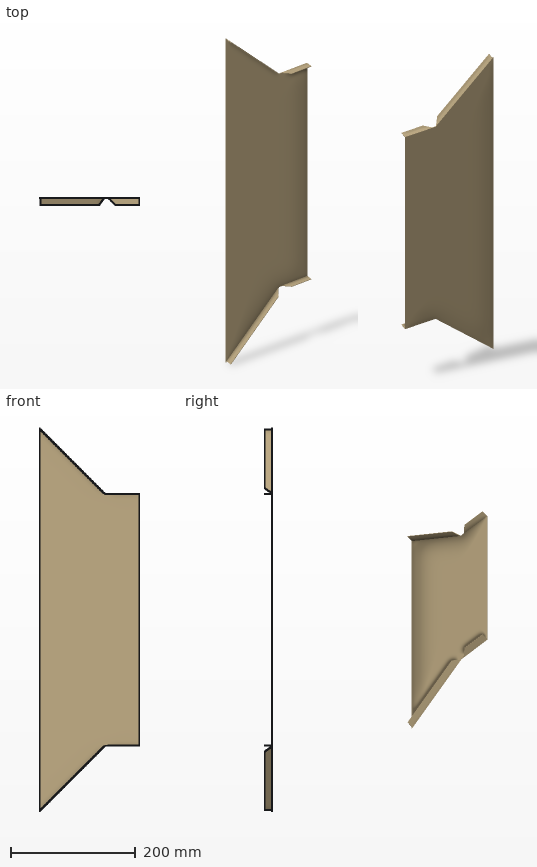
import cadquery as cq
import math

width = 160.13
depth = 12.24
height = 614.15

thickness = 1.0
slope_angle = 45.0
slope_run = 105.0
tip_height = height / 2
corner_height = tip_height - slope_run * math.tan(math.radians(slope_angle))
slope_length = slope_run / math.cos(math.radians(slope_angle))
straight_length = width - slope_run

flange_height = depth - thickness
tip_setback = 2.5
slope_setback = 2.0
straight_setback = 5.5


def make_plate():
    """Flat plate with its back face on Y = 0."""
    outline = [
        (0, -tip_height),
        (slope_run, -corner_height),
        (width, -corner_height),
        (width, corner_height),
        (slope_run, corner_height),
        (0, tip_height),
    ]
    return cq.Workplane("XZ").polyline(outline).close().extrude(thickness)


def make_flange(square_end, mitered_end):
    """Flange along X between its two ends, standing toward -Y, with its outer face on Z = 0."""
    miter = math.copysign(flange_height, square_end - mitered_end)
    outline = [
        (square_end, 0),
        (square_end, -depth),
        (mitered_end + miter, -depth),
        (mitered_end, -thickness),
        (mitered_end, 0),
    ]
    return cq.Workplane("XY").polyline(outline).close().extrude(-thickness)


def make_upper_flanges():
    """The sloped and the straight flange of the upper half."""
    sloped = (
        make_flange(tip_setback, slope_length - slope_setback)
        .rotate((0, 0, 0), (0, 1, 0), slope_angle)
        .translate((0, 0, tip_height))
    )
    straight = make_flange(straight_length, straight_setback).translate((slope_run, 0, corner_height))
    return [sloped, straight]


result = make_plate()
for flange in make_upper_flanges():
    result = result.union(flange).union(flange.mirror("XY"))